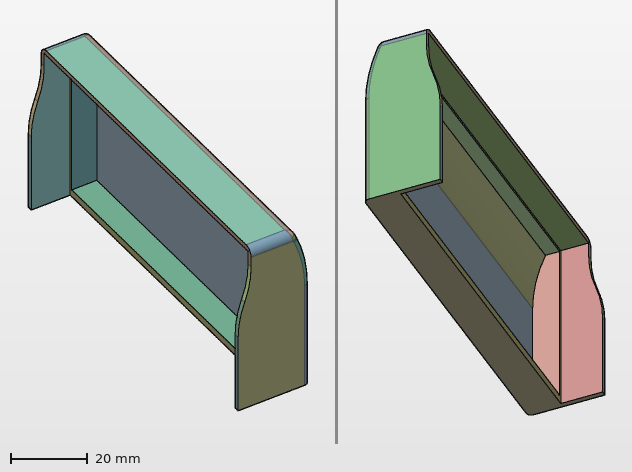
import cadquery as cq
import math

WIDTH = 103.0
DEPTH = 22.0
HEIGHT = 51.5
BACK_Y = DEPTH / 2
FRONT_Y = -DEPTH / 2

BEND_Z = 33.0
BACK_ARC_RADIUS = 40.0

ROOF_DEPTH = 18.0
ROOF_FRONT_Y = BACK_Y - ROOF_DEPTH
S_CURVE_RADIUS = 30.0
S_CURVE_MIDDLE_Z = 35.0

ROOF_FILLET = 2.5
BACK_EDGE_FILLET = 1.5

WING_THICKNESS = 1.5
FRAME_THICKNESS = 2.25
FRAME_DEPTH = 10.0
FRAME_FRONT_Y = BACK_Y - FRAME_DEPTH


def back_arc_point(z, inset):
    """(Y, Z) point at height z on the leaning back surface, moved inward by inset."""
    radius = BACK_ARC_RADIUS - inset
    arc_center_y = BACK_Y - BACK_ARC_RADIUS
    return (arc_center_y + math.sqrt(radius**2 - (z - BEND_Z) ** 2), z)


def back_profile(bottom_z, top_z, inset):
    """Open YZ profile from the front bottom corner, along the bottom and up the back to top_z."""
    return (
        cq.Workplane("YZ")
        .moveTo(FRONT_Y, bottom_z)
        .lineTo(BACK_Y - inset, bottom_z)
        .lineTo(BACK_Y - inset, BEND_Z)
        .threePointArc(
            back_arc_point((BEND_Z + top_z) / 2, inset),
            back_arc_point(top_z, inset),
        )
    )


def make_body():
    """Solid block with the leaning back and the S-shaped front edge."""
    half_depth = (ROOF_FRONT_Y - FRONT_Y) / 2
    half_height = math.sqrt(S_CURVE_RADIUS**2 - (S_CURVE_RADIUS - half_depth) ** 2)
    s_top = (ROOF_FRONT_Y, S_CURVE_MIDDLE_Z + half_height)
    s_middle = (FRONT_Y + half_depth, S_CURVE_MIDDLE_Z)
    s_bottom = (FRONT_Y, S_CURVE_MIDDLE_Z - half_height)

    profile = (
        back_profile(0, HEIGHT, 0)
        .lineTo(ROOF_FRONT_Y, HEIGHT)
        .lineTo(*s_top)
        .radiusArc(s_middle, S_CURVE_RADIUS)
        .radiusArc(s_bottom, -S_CURVE_RADIUS)
        .close()
    )
    return profile.extrude(WIDTH / 2, both=True)


def round_outer_edges(body):
    """Round the side and back edges of the roof, then the two side edges of the back wall."""
    roof_rounded = body.faces(">Z").edges("|Y or >Y").fillet(ROOF_FILLET)
    return roof_rounded.edges("|Z and >Y").fillet(BACK_EDGE_FILLET)


def make_front_recess():
    """Space between the wings and under the roof, open at the front and at the bottom."""
    recess = cq.Workplane("XY").box(
        WIDTH - 2 * WING_THICKNESS,
        FRAME_FRONT_Y - FRONT_Y,
        HEIGHT - WING_THICKNESS,
        centered=(True, False, False),
    )
    return recess.translate((0, FRONT_Y, 0))


def make_cavity():
    """Space inside the frame; its back follows the outer back at an even wall thickness."""
    top_z = HEIGHT - FRAME_THICKNESS
    profile = (
        back_profile(FRAME_THICKNESS, top_z, FRAME_THICKNESS)
        .lineTo(FRONT_Y, top_z)
        .close()
    )
    return profile.extrude(WIDTH / 2 - FRAME_THICKNESS, both=True)


outer_shape = round_outer_edges(make_body())
result = outer_shape.cut(make_front_recess()).cut(make_cavity())